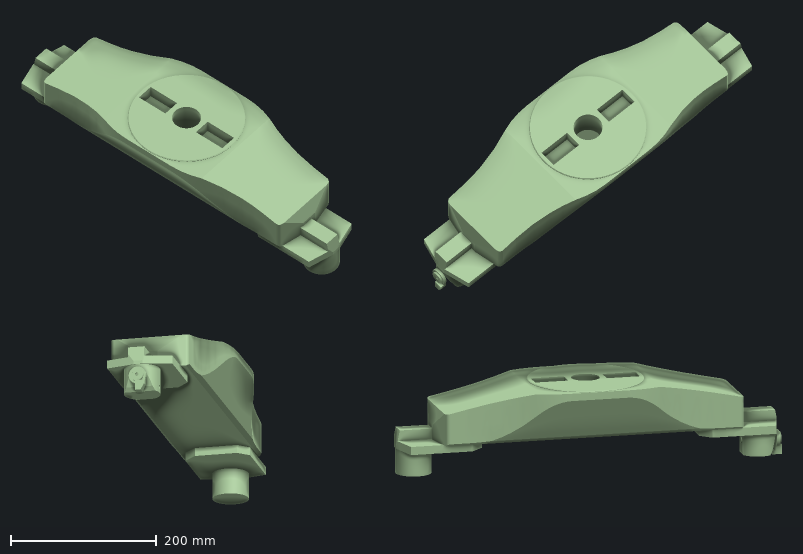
import cadquery as cq
import math


HOUSING_HEIGHT = 71.0
HOUSING_HALF_LENGTH = 219.0
MID_HALF_WIDTH = 82.0
END_HALF_WIDTH = 55.0
MID_FLAT_HALF_LENGTH = 39.5
WAIST_START = 181.0
TOP_FLAT_HALF_LENGTH = 87.5
TOP_SLOPE = math.radians(12)
END_CORNER_RADIUS = 6.0
END_FLAT_HALF_WIDTH = 12.5
END_SETBACK_ANGLE = math.radians(12)
END_FLAT_HEIGHT = 22.0
END_TOP_X = 212.0
SIDE_TAPER_TOP = 60.5
SIDE_TAPER_BOTTOM = 5.0
TAPER_BOTTOM_HALF_WIDTH = 57.5
BASE_HALF_WIDTH = 51.5

DISC_RADIUS = 81.0
DISC_HEIGHT = 1.5
DISC_CHAMFER = 1.0
BORE_DIAMETER = 40.0
BORE_DEPTH = 43.5
SLOT_LENGTH = 47.0
SLOT_WIDTH = 25.0
SLOT_DEPTH = 18.5
SLOT_CENTER = 51.0

PLATE_THICKNESS = 11.5
PLATE_WIDTH = 92.0
PLATE_CENTER_Y = 2.45
PLATE_TIP = 268.5
PLATE_OUTER_CORNER = 258.0
PLATE_INNER_END = 153.0
INNER_CHAMFER_LEFT = 15.0
INNER_CHAMFER_RIGHT = 18.0
TIP_HALF_WIDTH = 6.5
KEY_WIDTH = 23.0
KEY_HEIGHT = 15.0
KEY_CENTER_Y = 6.0
GROOVE_HEADROOM = 1.0
KEY_END_BOTTOM = -6.5
KEY_END_ANGLE = math.radians(11)

CYLINDER_DIAMETER = 50.0
CYLINDER_LENGTH = 36.0
CYLINDER_X = 243.0
CYLINDER_Y = 3.0

RELIEF_TOP = -16.5
RELIEF_MID = (-260.0, -41.5)
RELIEF_END_X = -256.0
BACK_FLAT_X = -220.5
BACK_FLAT_TOP = -17.0
BACK_PAD_DIAMETER = 9.5
BACK_PAD_HEIGHT = 1.5
SET_HOLE_DIAMETER = 5.0
SET_HOLE_DEPTH = 3.0
SET_BORE_DIAMETER = 2.8
SET_BORE_DEPTH = 8.0
SET_HOLE_X = -245.5
SET_HOLE_Z = -39.5

SEAT_X = -CYLINDER_X - CYLINDER_DIAMETER / 2
INSERT_DIAMETER = 24.0
INSERT_THICKNESS = 4.5
INSERT_Z = -28.5
COLLAR_DIAMETER = 18.0
COLLAR_HEIGHT = 3.0
COLLAR_FACE_X = SEAT_X - INSERT_THICKNESS - COLLAR_HEIGHT
TONGUE_FRONT_X = -277.5
TONGUE_LEFT = 4.5
TONGUE_RIGHT = -8.0
TONGUE_SHOULDER = -42.5
TONGUE_TIP_RIGHT = -3.5
TONGUE_BOTTOM = -51.5
FOOT_X = -263.5
FOOT_HEIGHT = 5.5
SCREW_DIAMETER = 8.0
SCREW_HEAD_DIAMETER = 13.5
SCREW_HEAD_HEIGHT = 4.0
SOCKET_DIAMETER = 4.7
SOCKET_DEPTH = 2.0


def half_turn(body):
    return body.rotate((0, 0, 0), (0, 0, 1), 180)


def x_cylinder(diameter, x_start, x_end):
    """Cylinder on the insert axis between two X positions."""
    plane = cq.Workplane("YZ", origin=(x_start, CYLINDER_Y, INSERT_Z))
    return plane.circle(diameter / 2).extrude(x_end - x_start)


def housing_plan():
    """Full-height body with the waisted outline and rounded end corners."""
    run = WAIST_START - MID_FLAT_HALF_LENGTH
    rise = MID_HALF_WIDTH - END_HALF_WIDTH
    chord_angle = math.atan2(rise, run)
    radii_sum = (run**2 + rise**2) / (2 * rise)
    inflection_x = TOP_FLAT_HALF_LENGTH
    inflection_y = MID_HALF_WIDTH - rise * (inflection_x - MID_FLAT_HALF_LENGTH) / run

    def bulge(length):
        """Sagitta of the arc over the given X run."""
        radius = radii_sum * length / run
        return radius * (1 - math.cos(chord_angle))

    def arc_middle(x_a, y_a, x_b, y_b, side):
        sagitta = side * bulge(abs(x_b - x_a))
        middle_x = (x_a + x_b) / 2 + sagitta * math.sin(chord_angle)
        middle_y = (y_a + y_b) / 2 + sagitta * math.cos(chord_angle)
        return middle_x, middle_y

    setback = (END_HALF_WIDTH - END_FLAT_HALF_WIDTH) * math.tan(END_SETBACK_ANGLE)
    corner_x = HOUSING_HALF_LENGTH - setback
    hollow = arc_middle(WAIST_START, END_HALF_WIDTH, inflection_x, inflection_y, -1)
    crown = arc_middle(inflection_x, inflection_y, MID_FLAT_HALF_LENGTH, MID_HALF_WIDTH, 1)
    quarter = (
        cq.Workplane("XY")
        .moveTo(0, 0)
        .lineTo(HOUSING_HALF_LENGTH, 0)
        .lineTo(HOUSING_HALF_LENGTH, END_FLAT_HALF_WIDTH)
        .lineTo(corner_x, END_HALF_WIDTH)
        .lineTo(WAIST_START, END_HALF_WIDTH)
        .threePointArc(hollow, (inflection_x, inflection_y))
        .threePointArc(crown, (MID_FLAT_HALF_LENGTH, MID_HALF_WIDTH))
        .lineTo(0, MID_HALF_WIDTH)
        .close()
        .extrude(HOUSING_HEIGHT)
    )
    corner = cq.selectors.NearestToPointSelector((corner_x, END_HALF_WIDTH, HOUSING_HEIGHT / 2))
    quarter = quarter.edges("|Z").edges(corner).fillet(END_CORNER_RADIUS)
    half = quarter.union(quarter.mirror("XZ"))
    return half.union(half.mirror("YZ"))


def housing_side_profile():
    """Flat middle, sloping shoulders and leaning ends, swept across the full width."""
    end_top = HOUSING_HEIGHT - (END_TOP_X - TOP_FLAT_HALF_LENGTH) * math.tan(TOP_SLOPE)
    right = [
        (HOUSING_HALF_LENGTH, 0),
        (HOUSING_HALF_LENGTH, END_FLAT_HEIGHT),
        (END_TOP_X, end_top),
        (TOP_FLAT_HALF_LENGTH, HOUSING_HEIGHT),
    ]
    left = [(-x, z) for x, z in reversed(right)]
    return cq.Workplane("XZ").polyline(right + left).close().extrude(MID_HALF_WIDTH, both=True)


def housing_cross_section():
    """Sides tapering inward below, swept along the full length."""
    right = [
        (BASE_HALF_WIDTH, 0),
        (TAPER_BOTTOM_HALF_WIDTH, SIDE_TAPER_BOTTOM),
        (MID_HALF_WIDTH, SIDE_TAPER_TOP),
        (MID_HALF_WIDTH, HOUSING_HEIGHT),
    ]
    left = [(-y, z) for y, z in reversed(right)]
    return cq.Workplane("YZ").polyline(right + left).close().extrude(HOUSING_HALF_LENGTH, both=True)


def make_housing():
    body = housing_plan().intersect(housing_side_profile()).intersect(housing_cross_section())
    disc = cq.Workplane("XY", origin=(0, 0, HOUSING_HEIGHT)).circle(DISC_RADIUS).extrude(DISC_HEIGHT)
    body = body.union(disc.faces(">Z").edges().chamfer(DISC_CHAMFER))

    top = cq.Workplane("XY", origin=(0, 0, HOUSING_HEIGHT + DISC_HEIGHT))
    bore = top.circle(BORE_DIAMETER / 2).extrude(-BORE_DEPTH)
    slot_centers = [(-SLOT_CENTER, 0), (SLOT_CENTER, 0)]
    slots = top.pushPoints(slot_centers).rect(SLOT_LENGTH, SLOT_WIDTH).extrude(-SLOT_DEPTH)
    body = body.cut(bore).cut(slots)

    groove = left_key_bar(KEY_HEIGHT + GROOVE_HEADROOM)
    return body.cut(groove).cut(half_turn(groove))


def left_key_bar(height):
    """Square-ended bar over the length of the left slide, as wide as its key."""
    middle = -(PLATE_TIP + PLATE_INNER_END) / 2
    base = cq.Workplane("XY", origin=(middle, KEY_CENTER_Y, 0))
    return base.rect(PLATE_TIP - PLATE_INNER_END, KEY_WIDTH).extrude(height)


def make_left_slide():
    """Plate with a pointed outer end, chamfered inner corners and a key along its top."""
    half_width = PLATE_WIDTH / 2
    outline = [
        (-PLATE_INNER_END, half_width - INNER_CHAMFER_LEFT),
        (-PLATE_INNER_END - INNER_CHAMFER_LEFT, half_width),
        (-PLATE_OUTER_CORNER, half_width),
        (-PLATE_TIP, TIP_HALF_WIDTH),
        (-PLATE_TIP, -TIP_HALF_WIDTH),
        (-PLATE_OUTER_CORNER, -half_width),
        (-PLATE_INNER_END - INNER_CHAMFER_RIGHT, -half_width),
        (-PLATE_INNER_END, INNER_CHAMFER_RIGHT - half_width),
    ]
    bottom = cq.Workplane("XY", origin=(0, PLATE_CENTER_Y, -PLATE_THICKNESS))
    plate = bottom.polyline(outline).close().extrude(PLATE_THICKNESS)
    full_height = bottom.polyline(outline).close().extrude(PLATE_THICKNESS + KEY_HEIGHT)

    key = left_key_bar(KEY_HEIGHT).intersect(full_height)

    lean = (KEY_HEIGHT - KEY_END_BOTTOM) * math.tan(KEY_END_ANGLE)
    tilted_end = (
        cq.Workplane("XZ", origin=(0, KEY_CENTER_Y, 0))
        .polyline([
            (-PLATE_TIP, KEY_END_BOTTOM),
            (-PLATE_TIP + lean, KEY_HEIGHT),
            (-PLATE_TIP, KEY_HEIGHT),
        ])
        .close()
        .extrude(KEY_WIDTH / 2, both=True)
    )
    return plate.union(key).cut(tilted_end)


def make_cylinder():
    """Plain cylinder under the left slide."""
    top = cq.Workplane("XY", origin=(-CYLINDER_X, CYLINDER_Y, -PLATE_THICKNESS))
    return top.circle(CYLINDER_DIAMETER / 2).extrude(-CYLINDER_LENGTH)


def make_cartridge():
    bottom = -PLATE_THICKNESS - CYLINDER_LENGTH
    outer_x = -CYLINDER_X - CYLINDER_DIAMETER / 2
    inner_x = -CYLINDER_X + CYLINDER_DIAMETER / 2

    relief = [
        (outer_x, RELIEF_TOP),
        RELIEF_MID,
        (RELIEF_END_X, bottom),
        (outer_x, bottom),
    ]
    back_flat = [
        (inner_x, -PLATE_THICKNESS),
        (BACK_FLAT_X, BACK_FLAT_TOP),
        (BACK_FLAT_X, bottom),
        (inner_x, bottom),
    ]
    body = make_cylinder()
    for profile in (relief, back_flat):
        cutter = cq.Workplane("XZ").polyline(profile).close().extrude(CYLINDER_DIAMETER, both=True)
        body = body.cut(cutter)

    surface_dy = math.sqrt((CYLINDER_DIAMETER / 2) ** 2 - (SET_HOLE_X + CYLINDER_X) ** 2)
    surface_y = CYLINDER_Y - surface_dy
    for diameter, depth in ((SET_HOLE_DIAMETER, SET_HOLE_DEPTH), (SET_BORE_DIAMETER, SET_BORE_DEPTH)):
        hole = cq.Workplane("XZ", origin=(SET_HOLE_X, surface_y + depth, SET_HOLE_Z))
        body = body.cut(hole.circle(diameter / 2).extrude(CYLINDER_DIAMETER / 2))

    return body.union(x_cylinder(BACK_PAD_DIAMETER, -CYLINDER_X, BACK_FLAT_X + BACK_PAD_HEIGHT))


def make_insert():
    """Round body with a collar and a cutting tongue hanging from it, bored for the screw."""
    front_x = SEAT_X - INSERT_THICKNESS
    disc = x_cylinder(INSERT_DIAMETER, front_x, SEAT_X)
    collar = x_cylinder(COLLAR_DIAMETER, COLLAR_FACE_X, front_x)

    tongue_outline = [
        (TONGUE_LEFT, INSERT_Z),
        (TONGUE_RIGHT, INSERT_Z),
        (TONGUE_RIGHT, TONGUE_SHOULDER),
        (TONGUE_TIP_RIGHT, TONGUE_BOTTOM),
        (TONGUE_LEFT, TONGUE_BOTTOM),
    ]
    tongue = cq.Workplane("YZ", origin=(TONGUE_FRONT_X, 0, 0)).polyline(tongue_outline).close()
    tongue = tongue.extrude(FOOT_X - TONGUE_FRONT_X)
    tongue_side = (
        cq.Workplane("XZ")
        .polyline([
            (front_x, INSERT_Z),
            (SEAT_X, INSERT_Z),
            (SEAT_X, TONGUE_BOTTOM + FOOT_HEIGHT),
            (FOOT_X, TONGUE_BOTTOM),
            (TONGUE_FRONT_X, TONGUE_BOTTOM),
            (TONGUE_FRONT_X, INSERT_Z - COLLAR_DIAMETER / 2),
            (front_x, INSERT_Z - COLLAR_DIAMETER / 2),
        ])
        .close()
        .extrude(INSERT_DIAMETER, both=True)
    )
    body = disc.union(collar).union(tongue.intersect(tongue_side))
    return body.cut(screw_envelope())


def screw_envelope():
    """Solid form of the screw, its head flush with the collar face."""
    head = x_cylinder(SCREW_HEAD_DIAMETER, COLLAR_FACE_X, COLLAR_FACE_X + SCREW_HEAD_HEIGHT)
    shank = x_cylinder(SCREW_DIAMETER, COLLAR_FACE_X, SEAT_X)
    return head.union(shank)


def make_screw():
    socket = x_cylinder(SOCKET_DIAMETER, COLLAR_FACE_X, COLLAR_FACE_X + SOCKET_DEPTH)
    return screw_envelope().cut(socket)


left_slide = make_left_slide()
right_slide = half_turn(left_slide)
housing = make_housing()
cartridge = make_cartridge()
counterweight = half_turn(make_cylinder())
insert = make_insert()
screw = make_screw()

result = cq.Compound.makeCompound([
    housing.val(),
    left_slide.val(),
    right_slide.val(),
    cartridge.val(),
    counterweight.val(),
    insert.val(),
    screw.val(),
])